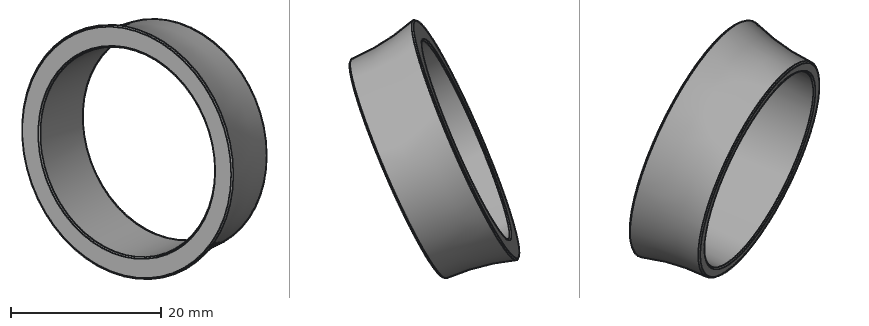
import cadquery as cq

width = 10.0
flare_radius = 17.4
neck_radius = 15.9
bore_radius = 14.35
edge_break = 0.2

front = -width / 2
back = width / 2

arc_length = width - 2 * edge_break
flare_rise = flare_radius - neck_radius
arc_radius = (arc_length**2 + flare_rise**2) / (2 * flare_rise)
arc_middle = arc_length / 2
middle_rise = arc_radius - (arc_radius**2 - arc_middle**2) ** 0.5

section = (
    cq.Workplane("XY")
    .moveTo(bore_radius + edge_break, front)
    .lineTo(flare_radius - edge_break, front)
    .lineTo(flare_radius, front + edge_break)
    .threePointArc((neck_radius + middle_rise, 0), (neck_radius, back - edge_break))
    .lineTo(neck_radius - edge_break, back)
    .lineTo(bore_radius + edge_break, back)
    .lineTo(bore_radius, back - edge_break)
    .lineTo(bore_radius, front + edge_break)
    .close()
)

result = section.revolve(360, (0, 0, 0), (0, 1, 0))